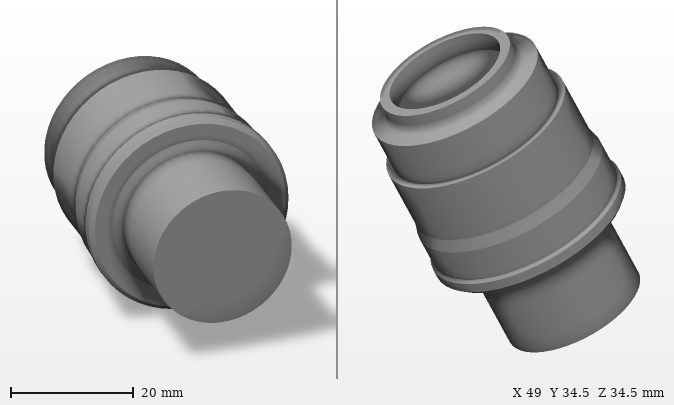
import cadquery as cq
import math


lip_length = 1.85
lip_radius = 11.75
lip_fillet = 1.0
shoulder_lean = math.radians(20)
nose_radius = 15.0
nose_end = 11.6
bore_radius = 10.0
window_depth = 3.45

sleeve_radius = 16.15
taper_start = 22.3
taper_end = 24.45
collar_radius = 16.75
collar_end = 30.15
rim_radius = 17.25
rim_start = collar_end + (rim_radius - collar_radius)
sleeve_end = 31.55

rim_end = 32.3
rim_chamfer = 0.8
cap_face = rim_end + rim_chamfer
hub_radius = 13.55
cap_end = 34.0

tube_radius = 11.95
tube_end = 46.35
total_length = 49.0


def revolve_about_x(outline):
    """Turn a closed half outline, drawn as (X, radius), into a solid."""
    return outline.close().revolve(360, (0, 0, 0), (1, 0, 0))


def make_cylinder(start, end, radius):
    """Solid cylinder along X from start to end."""
    return cq.Workplane("YZ", origin=(start, 0, 0)).circle(radius).extrude(end - start)


def make_nose():
    def fillet_point(lean):
        """Point on the lip fillet where its tangent has the given lean."""
        return (
            lip_length + lip_fillet * math.cos(lean),
            lip_radius + lip_fillet * (1 - math.sin(lean)),
        )

    fillet_middle = fillet_point((shoulder_lean + math.pi / 2) / 2)
    fillet_end = fillet_point(shoulder_lean)
    shoulder_end = fillet_end[0] + (nose_radius - fillet_end[1]) * math.tan(shoulder_lean)
    outline = (
        cq.Workplane("XY")
        .moveTo(0, bore_radius)
        .lineTo(0, lip_radius)
        .lineTo(lip_length, lip_radius)
        .threePointArc(fillet_middle, fillet_end)
        .lineTo(shoulder_end, nose_radius)
        .lineTo(nose_end, nose_radius)
        .lineTo(nose_end, bore_radius)
    )
    return revolve_about_x(outline)


def make_window():
    """Plug that fills the nose bore behind the opening."""
    return make_cylinder(window_depth, nose_end, bore_radius)


def make_sleeve():
    outline = cq.Workplane("XY").polyline([
        (nose_end, 0),
        (nose_end, sleeve_radius),
        (taper_start, sleeve_radius),
        (taper_end, collar_radius),
        (collar_end, collar_radius),
        (rim_start, rim_radius),
        (sleeve_end, rim_radius),
        (sleeve_end, 0),
    ])
    return revolve_about_x(outline)


def make_cap():
    outline = cq.Workplane("XY").polyline([
        (sleeve_end, 0),
        (sleeve_end, rim_radius),
        (rim_end, rim_radius),
        (cap_face, rim_radius - rim_chamfer),
        (cap_face, hub_radius),
        (cap_end, tube_radius),
        (cap_end, 0),
    ])
    return revolve_about_x(outline)


nose = make_nose()
window = make_window()
sleeve = make_sleeve()
cap = make_cap()
tube = make_cylinder(cap_end, tube_end, tube_radius)
end_piece = make_cylinder(tube_end, total_length, tube_radius)

result = cq.Compound.makeCompound([
    nose.val(),
    window.val(),
    sleeve.val(),
    cap.val(),
    tube.val(),
    end_piece.val(),
])